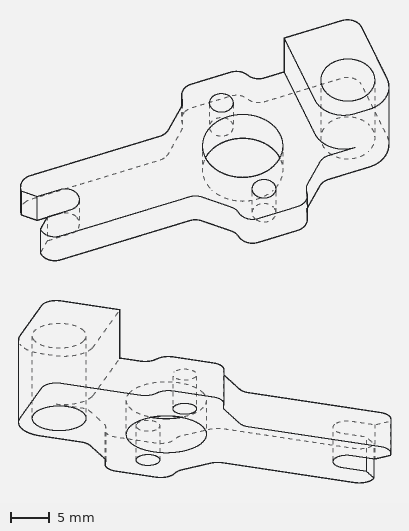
import cadquery as cq
import math

total_length = 48.85
total_width = 23.9
total_height = 12.0
plate_thickness = 5.0
top_y = 19.45
bottom_y = top_y - total_length

corner_radius = 2.0

ear_top_y = 5.0
ear_bottom_y = -4.5
ear_half_width = total_width / 2
ear_center_x = ear_half_width - corner_radius
upper_ear_center_y = ear_top_y - corner_radius
lower_ear_center_y = ear_bottom_y + corner_radius

block_left_x = -9.5
block_right_x = 5.5
block_length = 10.0
block_radius = 4.0

tail_half_width = 5.35
slot_half_width = 1.8
slot_center_y = -24.6
mouth_chamfer = tail_half_width - corner_radius - slot_half_width

bore_diameter = 10.4
block_hole_diameter = 7.0
block_hole_y = 14.6
screw_hole_diameter = 3.1
screw_hole_x = 7.6

diagonal = math.sqrt(0.5)
shoulder_offset = 1.54
inner_corner_setback = corner_radius * math.tan(math.pi / 8)


def midpoint_on_arc(center, start, end):
    """Middle point of the shorter arc between two points."""
    angle = math.atan2(start[1] + end[1] - 2 * center[1], start[0] + end[0] - 2 * center[0])
    return (
        center[0] + corner_radius * math.cos(angle),
        center[1] + corner_radius * math.sin(angle),
    )


def add_arc(path, center, start, end):
    return path.threePointArc(midpoint_on_arc(center, start, end), end)


def shoulder_path(path, side_x, ear_y):
    """Go from a straight edge at side_x, along a 45 degree shoulder, round the +X, +Y ear corner."""
    corner_y = ear_center_x + ear_y + shoulder_offset - side_x
    inner_start = (side_x, corner_y + inner_corner_setback)
    inner_center = (side_x + corner_radius, inner_start[1])
    inner_end = (
        inner_center[0] - corner_radius * diagonal,
        inner_center[1] - corner_radius * diagonal,
    )

    center_sum = shoulder_offset + corner_radius / diagonal
    center_gap = 2 * corner_radius
    blend_dx = (center_sum - math.sqrt(2 * center_gap**2 - center_sum**2)) / 2
    blend_dy = center_sum - blend_dx
    ear_center = (ear_center_x, ear_y)
    blend_center = (ear_center_x + blend_dx, ear_y + blend_dy)
    blend_start = (
        blend_center[0] - corner_radius * diagonal,
        blend_center[1] - corner_radius * diagonal,
    )
    blend_end = (ear_center_x + blend_dx / 2, ear_y + blend_dy / 2)
    ear_end = (ear_half_width, ear_y)

    path = path.lineTo(*inner_start)
    path = add_arc(path, inner_center, inner_start, inner_end)
    path = path.lineTo(*blend_start)
    path = add_arc(path, blend_center, blend_start, blend_end)
    return add_arc(path, ear_center, blend_end, ear_end)


def upper_left_path(path):
    """Go from the block's left side round a concave blend and the left ear corner."""
    center_gap = 2 * corner_radius
    blend_x = block_left_x - corner_radius
    blend_dx = blend_x + ear_center_x
    blend_dy = math.sqrt(center_gap**2 - blend_dx**2)
    ear_center = (-ear_center_x, upper_ear_center_y)
    blend_center = (blend_x, upper_ear_center_y + blend_dy)
    blend_start = (block_left_x, blend_center[1])
    blend_end = (-ear_center_x + blend_dx / 2, upper_ear_center_y + blend_dy / 2)
    ear_end = (-ear_half_width, upper_ear_center_y)

    path = path.lineTo(*blend_start)
    path = add_arc(path, blend_center, blend_start, blend_end)
    return add_arc(path, ear_center, blend_end, ear_end)


def make_upper_plate():
    """Part of the plate on the +Y side of the bore axis."""
    right = cq.Workplane("XY").moveTo(0, 0).lineTo(0, top_y).lineTo(block_right_x, top_y)
    right = shoulder_path(right, block_right_x, upper_ear_center_y)
    right = right.lineTo(ear_half_width, 0).close().extrude(plate_thickness)
    left = cq.Workplane("XY").moveTo(0, 0).lineTo(0, top_y).lineTo(block_left_x, top_y)
    left = upper_left_path(left)
    left = left.lineTo(-ear_half_width, 0).close().extrude(plate_thickness)
    plate = right.union(left)
    plate = plate.edges(cq.selectors.NearestToPointSelector((block_left_x, top_y, plate_thickness / 2)))
    plate = plate.fillet(corner_radius)
    plate = plate.edges(cq.selectors.NearestToPointSelector((block_right_x, top_y, plate_thickness / 2)))
    return plate.fillet(block_radius)


def make_lower_plate():
    """Tail and lower ear corners, drawn toward +X and +Y, then mirrored into place."""
    half = cq.Workplane("XY").lineTo(0, -bottom_y).lineTo(tail_half_width - corner_radius, -bottom_y)
    half = half.radiusArc((tail_half_width, -bottom_y - corner_radius), corner_radius)
    half = shoulder_path(half, tail_half_width, -lower_ear_center_y)
    half = half.lineTo(ear_half_width, 0).close().extrude(plate_thickness)
    half = half.mirror("XZ")
    return half.union(half.mirror("YZ"))


def make_block():
    block_width = block_right_x - block_left_x
    block = cq.Workplane("XY").box(block_width, block_length, total_height, centered=False)
    block = block.translate((block_left_x, top_y - block_length, 0))
    block = block.edges("|Z and >X").fillet(block_radius)
    return block.edges("|Z").edges("<X and >Y").fillet(corner_radius)


def make_fork_slot():
    """Round-ended slot with a chamfered mouth."""
    mouth_half_width = slot_half_width + mouth_chamfer
    return (
        cq.Workplane("XY")
        .moveTo(-mouth_half_width, bottom_y)
        .lineTo(-slot_half_width, bottom_y + mouth_chamfer)
        .lineTo(-slot_half_width, slot_center_y)
        .threePointArc((0, slot_center_y + slot_half_width), (slot_half_width, slot_center_y))
        .lineTo(slot_half_width, bottom_y + mouth_chamfer)
        .lineTo(mouth_half_width, bottom_y)
        .close()
        .extrude(plate_thickness)
    )


def make_hole(x, y, diameter):
    return cq.Workplane("XY").center(x, y).circle(diameter / 2).extrude(total_height)


result = make_upper_plate().union(make_lower_plate()).union(make_block()).clean()
result = result.cut(make_fork_slot())
result = result.cut(make_hole(0, 0, bore_diameter))
result = result.cut(make_hole(0, block_hole_y, block_hole_diameter))
for hole_x in (-screw_hole_x, screw_hole_x):
    result = result.cut(make_hole(hole_x, 0, screw_hole_diameter))